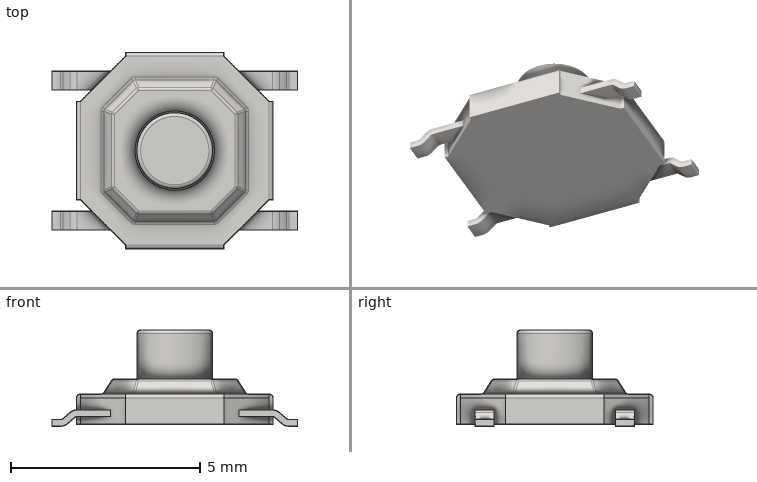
import cadquery as cq
import math


overall_length = 6.5
body_width = 5.2
overall_height = 2.55
standoff = 0.05

sheet = 0.105
flap_width = 2.6
cover_top = 0.85

dome_top = 1.25
dome_foot_width = 3.795
dome_foot_side = 2.17
dome_taper = 32.5
dome_edge_radius = 0.1
dome_foot_radius = 0.1

button_diameter = 2.0
button_hole_diameter = 2.1
button_edge_radius = 0.1

lead_width = 0.5
lead_thickness = 0.18
lead_spacing = 3.705
lead_lift = 0.255
lead_foot_length = 0.235
lead_bend_angle = 41
lead_bend_radius = 0.19
lead_root_x = 1.3

selection_margin = 0.005

base_width = body_width - 2 * sheet
base_top = cover_top - sheet
octagon_turn = math.pi / 4


def octagon_prism(width, side, bottom, height, taper=0):
    """Prism on an octagon whose four sides facing X and Y have the given length."""
    reach = width / 2
    half_side = side / 2
    corners = [
        (reach, half_side), (half_side, reach), (-half_side, reach), (-reach, half_side),
        (-reach, -half_side), (-half_side, -reach), (half_side, -reach), (reach, -half_side),
    ]
    outline = cq.Workplane("XY").workplane(offset=bottom).polyline(corners).close()
    return outline.extrude(height, taper=taper)


def make_lead():
    """One lead on the +X, +Y side: foot, S-bend and upper length running into the base."""
    angle = math.radians(lead_bend_angle)
    half_angle = angle / 2
    inner_radius = lead_bend_radius - lead_thickness / 2
    outer_radius = lead_bend_radius + lead_thickness / 2
    bend_rise = lead_bend_radius * (1 - math.cos(angle))
    slope_rise = lead_lift - 2 * bend_rise
    slope_run = slope_rise / math.tan(angle)
    foot_x = overall_length / 2 - lead_foot_length
    upper_x = foot_x - 2 * lead_bend_radius * math.sin(angle) - slope_run
    upper_top = lead_lift + lead_thickness
    lower_centre_z = lead_thickness + inner_radius
    upper_centre_z = lead_lift - inner_radius

    def lower(radius, turn):
        return (foot_x - radius * math.sin(turn), lower_centre_z - radius * math.cos(turn))

    def upper(radius, turn):
        return (upper_x + radius * math.sin(turn), upper_centre_z + radius * math.cos(turn))

    outline = (
        cq.Workplane("XZ", origin=(0, (lead_spacing + lead_width) / 2, 0))
        .moveTo(overall_length / 2, 0)
        .lineTo(foot_x, 0)
        .threePointArc(lower(outer_radius, half_angle), lower(outer_radius, angle))
        .lineTo(*upper(inner_radius, angle))
        .threePointArc(upper(inner_radius, half_angle), (upper_x, lead_lift))
        .lineTo(lead_root_x, lead_lift)
        .lineTo(lead_root_x, upper_top)
        .lineTo(upper_x, upper_top)
        .threePointArc(upper(outer_radius, half_angle), upper(outer_radius, angle))
        .lineTo(*lower(inner_radius, angle))
        .threePointArc(lower(inner_radius, half_angle), (foot_x, lead_thickness))
        .lineTo(overall_length / 2, lead_thickness)
        .close()
    )
    return outline.extrude(lead_width)


def make_base():
    """Octagonal base with a lead at each of its four slanted sides."""
    base = octagon_prism(base_width, flap_width, standoff, base_top - standoff)
    right_lead = make_lead()
    left_lead = right_lead.mirror("YZ")
    for lead in (right_lead, left_lead):
        base = base.union(lead).union(lead.mirror("XZ"))
    return base


def make_folded_sheet():
    """Flat octagonal sheet with four flaps folded down over the sides of the base."""
    height = cover_top - standoff
    centre_block = octagon_prism(base_width, flap_width, standoff, height)
    span = (
        cq.Workplane("XY", origin=(0, 0, standoff))
        .box(body_width, flap_width, height, centered=(True, True, False))
        .edges("|Y and >Z")
        .fillet(sheet)
    )
    crossing_span = span.rotate((0, 0, 0), (0, 0, 1), 90)
    base_space = octagon_prism(base_width, flap_width, standoff, base_top - standoff)
    return centre_block.union(span).union(crossing_span).cut(base_space)


def make_dome():
    """Solid tapered octagonal dome, rounded over its top and along its slanted edges."""
    dome = octagon_prism(dome_foot_width, dome_foot_side, cover_top, dome_top - cover_top, dome_taper)
    return dome.edges("not <Z").fillet(dome_edge_radius)


def make_dome_cavity():
    """Hollow under the dome that leaves the sheet thickness everywhere around it."""
    taper = math.radians(dome_taper)
    inset = sheet / math.cos(taper) - sheet * math.tan(taper)
    width = dome_foot_width - 2 * inset
    side = dome_foot_side - 2 * inset * math.tan(octagon_turn / 2)
    return octagon_prism(width, side, base_top, dome_top - cover_top, dome_taper)


def make_cover():
    """Folded sheet with a hollow dome and a round hole for the button."""
    cover = make_folded_sheet().union(make_dome())
    reach = dome_foot_width / 2 + dome_foot_radius
    foot_edges = cq.selectors.BoxSelector(
        (-reach, -reach, cover_top - selection_margin),
        (reach, reach, cover_top + selection_margin),
        boundingbox=True,
    )
    cover = cover.edges(foot_edges).fillet(dome_foot_radius)
    button_hole = cq.Workplane("XY").circle(button_hole_diameter / 2).extrude(overall_height)
    return cover.cut(make_dome_cavity()).cut(button_hole)


def make_button():
    """Round button standing on the base and rising through the cover."""
    button = cq.Workplane("XY").workplane(offset=base_top).circle(button_diameter / 2)
    button = button.extrude(overall_height - base_top)
    return button.faces(">Z").edges().fillet(button_edge_radius)


base = make_base()
cover = make_cover()
button = make_button()

result = cq.Compound.makeCompound([base.val(), cover.val(), button.val()])